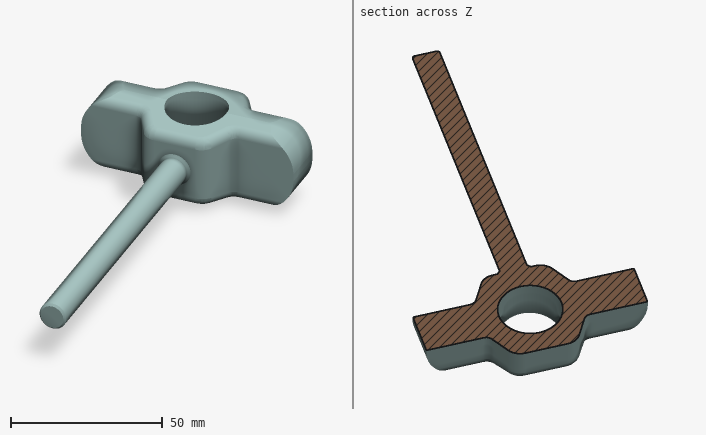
import cadquery as cq
import math

arm_span = 76.2
arm_width = 15.75
hub_depth = 36.83
hub_side_angle = 60.0
bore_diameter = 21.34

ridge_height = 14.03
face_slope = 5.0

end_radius = 12.7
hub_corner_radius = 5.715
arm_root_radius = 2.7
rim_radius = 3.3

rod_diameter = 9.53
rod_length = 101.6
rod_root_flare = 1.0
rod_tip_chamfer = 0.7

half_span = arm_span / 2
half_arm = arm_width / 2
half_hub = hub_depth / 2
bore_radius = bore_diameter / 2
rod_radius = rod_diameter / 2

side_steepness = math.tan(math.radians(hub_side_angle))
hub_corner_x = half_hub / side_steepness
arm_root_x = hub_corner_x + (half_hub - half_arm) / side_steepness


def fillet_vertical_corners(body, corner_x, corner_y, radius):
    """Round the four vertical edges at (+-corner_x, +-corner_y)."""
    tolerance = 0.01

    def is_corner(edge):
        center = edge.Center()
        x_matches = abs(abs(center.x) - corner_x) < tolerance
        y_matches = abs(abs(center.y) - corner_y) < tolerance
        return x_matches and y_matches

    return body.edges("|Z").filter(is_corner).fillet(radius)


def make_plan_prism():
    """Extrude the plan outline of hub and arms, with its vertical corners rounded."""
    back_side = [
        (half_span, half_arm),
        (arm_root_x, half_arm),
        (hub_corner_x, half_hub),
        (-hub_corner_x, half_hub),
        (-arm_root_x, half_arm),
        (-half_span, half_arm),
    ]
    front_side = [(x, -y) for x, y in reversed(back_side)]
    prism = (
        cq.Workplane("XY")
        .polyline(back_side + front_side)
        .close()
        .extrude(ridge_height, both=True)
    )
    prism = fillet_vertical_corners(prism, hub_corner_x, half_hub, hub_corner_radius)
    return fillet_vertical_corners(prism, arm_root_x, half_arm, arm_root_radius)


def make_sloped_envelope():
    """Bar along X whose cross-section has the ridged top and bottom faces."""
    edge_height = ridge_height - half_hub * math.tan(math.radians(face_slope))
    section = [
        (half_hub, edge_height),
        (0, ridge_height),
        (-half_hub, edge_height),
        (-half_hub, -edge_height),
        (0, -ridge_height),
        (half_hub, -edge_height),
    ]
    return cq.Workplane("YZ").polyline(section).close().extrude(half_span, both=True)


def make_rounded_end_envelope():
    """Block along Y whose XZ section rounds the arm ends."""
    return (
        cq.Workplane("XZ")
        .rect(arm_span, 2 * ridge_height)
        .extrude(half_hub, both=True)
        .edges("|Y")
        .fillet(end_radius)
    )


def round_rims(body):
    """Round the top and bottom rims along both sides, leaving ridges and arm end edges sharp."""
    steepest_rim = math.sin(math.radians(45))

    def is_rim(edge):
        center = edge.Center()
        is_flat = abs(edge.tangentAt(0.5).z) < steepest_rim
        is_off_ridge = abs(center.y) > half_arm / 2
        is_off_arm_end = abs(center.x) < half_span - rim_radius
        return is_flat and is_off_ridge and is_off_arm_end

    return body.edges().filter(is_rim).fillet(rim_radius)


def make_rod():
    """Turn the rod about Y, from inside the hub wall to its chamfered tip."""
    embedded_y = -(half_hub + bore_radius) / 2
    tip_y = -half_hub - rod_length
    flare_radius = rod_radius + rod_root_flare
    return (
        cq.Workplane("XY")
        .moveTo(0, embedded_y)
        .lineTo(flare_radius, embedded_y)
        .lineTo(flare_radius, -half_hub)
        .lineTo(rod_radius, -half_hub - rod_root_flare)
        .lineTo(rod_radius, tip_y + rod_tip_chamfer)
        .lineTo(rod_radius - rod_tip_chamfer, tip_y)
        .lineTo(0, tip_y)
        .close()
        .revolve(360, (0, 0, 0), (0, 1, 0))
    )


def make_bore():
    """Through hole along Z at the hub centre."""
    return cq.Workplane("XY").circle(bore_radius).extrude(ridge_height, both=True)


body = round_rims(make_plan_prism().intersect(make_sloped_envelope()))
body = body.intersect(make_rounded_end_envelope())
result = body.union(make_rod()).cut(make_bore())